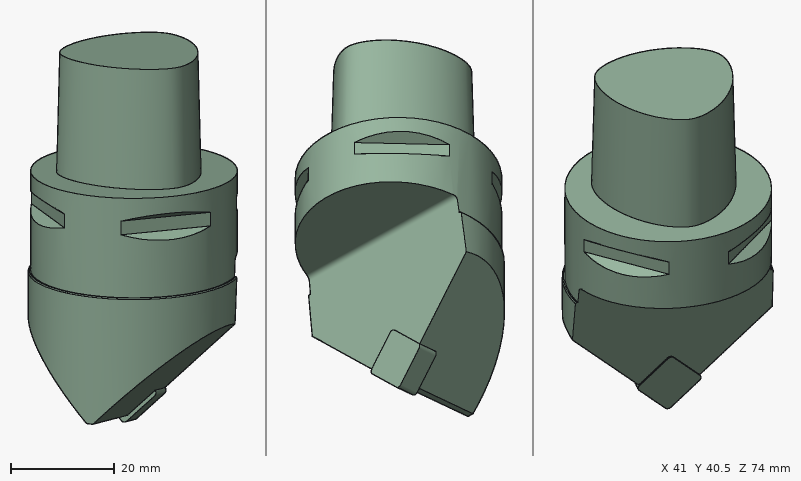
import cadquery as cq
import math

TOTAL_HEIGHT = 74.0
SHANK_HEIGHT = 24.0
COLLAR_HEIGHT = 20.0
COLLAR_TOP = TOTAL_HEIGHT - SHANK_HEIGHT
SHOULDER_Z = COLLAR_TOP - COLLAR_HEIGHT

COLLAR_RADIUS = 40.0 / 2
HEAD_RADIUS = 20.5
HEAD_CHAMFER = 0.2

SHANK_MEAN_RADIUS = 14.0
SHANK_LOBE = 1.0
SHANK_TAPER = 1 / 20
SHANK_POINTS = 36

GROOVE_COUNT = 4
GROOVE_FLAT_RADIUS = 17.75
GROOVE_FLOOR_HEIGHT = 2.75
GROOVE_FLARE = 30.0
GROOVE_DROP = 6.0

RAKE_TILT = 8.0
LEDGE_TILT = 5.0
LEDGE_OUTER_Z = 35.0
RELIEF_FILLET = 1.1

POINT_APEX = 0.75
NOSE_HALF_WIDTH = 0.7

INSERT_SIDE = 9.55
INSERT_THICKNESS = 4.7
INSERT_CORNER_RADIUS = 0.8
INSERT_PROUD = 0.3

CLEARANCE = 7.4

TILT = math.radians(RAKE_TILT)

RAKE_PLANE = cq.Plane(
    origin=(0, 0, 0), xDir=(1, 0, 0), normal=(0, -math.cos(TILT), math.sin(TILT))
)


def lobed_wire(mean_radius, z):
    """Three-lobed curve of constant width, with one lobe toward +Y."""
    points = []
    for i in range(SHANK_POINTS):
        angle = 2 * math.pi * i / SHANK_POINTS
        support = mean_radius + SHANK_LOBE * math.cos(3 * angle)
        slope = -3 * SHANK_LOBE * math.sin(3 * angle)
        toward_lobe = support * math.cos(angle) - slope * math.sin(angle)
        sideways = support * math.sin(angle) + slope * math.cos(angle)
        points.append(cq.Vector(-sideways, toward_lobe, z))
    return cq.Wire.assembleEdges([cq.Edge.makeSpline(points, periodic=True)])


def make_shank():
    top_radius = SHANK_MEAN_RADIUS - SHANK_TAPER * SHANK_HEIGHT / 2
    return cq.Workplane(cq.Solid.makeLoft(
        [lobed_wire(SHANK_MEAN_RADIUS, COLLAR_TOP), lobed_wire(top_radius, TOTAL_HEIGHT)]
    ))


def make_groove(angle):
    """Straight trapezoidal groove across the collar, facing the given direction."""
    reach = COLLAR_RADIUS + CLEARANCE
    half_floor = GROOVE_FLOOR_HEIGHT / 2
    half_mouth = half_floor + (reach - GROOVE_FLAT_RADIUS) * math.tan(math.radians(GROOVE_FLARE))
    return (
        cq.Workplane("XZ", origin=(0, 0, COLLAR_TOP - GROOVE_DROP))
        .polyline([
            (GROOVE_FLAT_RADIUS, -half_floor),
            (reach, -half_mouth),
            (reach, half_mouth),
            (GROOVE_FLAT_RADIUS, half_floor),
        ])
        .close()
        .extrude(COLLAR_RADIUS, both=True)
        .rotate((0, 0, 0), (0, 0, 1), angle)
    )


def make_collar():
    collar = cq.Workplane(origin=(0, 0, SHOULDER_Z)).circle(COLLAR_RADIUS).extrude(COLLAR_HEIGHT)
    spacing = 360 / GROOVE_COUNT
    for i in range(GROOVE_COUNT):
        collar = collar.cut(make_groove((i + 0.5) * spacing))
    return collar


def make_head():
    """Round head trimmed to a V by faces square to the rake face."""
    cylinder = cq.Workplane().circle(HEAD_RADIUS).extrude(SHOULDER_Z).faces(">Z").chamfer(HEAD_CHAMFER)
    half_width = HEAD_RADIUS + CLEARANCE
    top = SHOULDER_Z + CLEARANCE
    v_block = (
        cq.Workplane(RAKE_PLANE)
        .polyline([
            (-NOSE_HALF_WIDTH, POINT_APEX + NOSE_HALF_WIDTH),
            (NOSE_HALF_WIDTH, POINT_APEX + NOSE_HALF_WIDTH),
            (half_width, POINT_APEX + half_width),
            (half_width, top),
            (-half_width, top),
            (-half_width, POINT_APEX + half_width),
        ])
        .close()
        .extrude(2 * HEAD_RADIUS, both=True)
    )
    return cylinder.intersect(v_block)


def make_chip_space():
    """Wedge removed in front of the rake face, below a sloping ledge."""
    rake_slope = math.tan(TILT)
    ledge_slope = math.tan(math.radians(LEDGE_TILT))
    face_y = -INSERT_PROUD / math.cos(TILT)
    ledge_at_axis = LEDGE_OUTER_Z - COLLAR_RADIUS * ledge_slope
    corner_z = (ledge_at_axis + face_y * ledge_slope) / (1 - rake_slope * ledge_slope)
    corner_y = face_y + corner_z * rake_slope
    outer_y = HEAD_RADIUS + CLEARANCE
    return (
        cq.Workplane("YZ")
        .polyline([
            (face_y - CLEARANCE * rake_slope, -CLEARANCE),
            (outer_y, -CLEARANCE),
            (outer_y, ledge_at_axis + outer_y * ledge_slope),
            (corner_y, corner_z),
        ])
        .close()
        .extrude(HEAD_RADIUS + CLEARANCE, both=True)
        .edges(cq.selectors.NearestToPointSelector((0, corner_y, corner_z)))
        .fillet(RELIEF_FILLET)
    )


def make_insert():
    half_diagonal = INSERT_SIDE / math.sqrt(2) - (math.sqrt(2) - 1) * INSERT_CORNER_RADIUS
    return (
        cq.Workplane(RAKE_PLANE)
        .center(0, half_diagonal)
        .transformed(rotate=(0, 0, 45))
        .rect(INSERT_SIDE, INSERT_SIDE)
        .extrude(INSERT_THICKNESS)
        .edges(cq.selectors.ParallelDirSelector(RAKE_PLANE.zDir))
        .fillet(INSERT_CORNER_RADIUS)
    )


insert = make_insert()

holder = (
    make_shank()
    .union(make_collar())
    .union(make_head())
    .cut(make_chip_space())
    .cut(insert)
)

result = cq.Compound.makeCompound([holder.solids().val(), insert.val()])